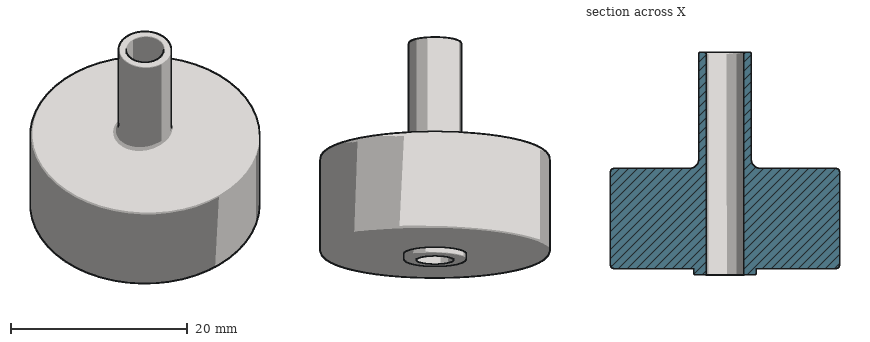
import cadquery as cq

body_diameter = 26.0
total_height = 25.2
boss_height = 0.7
body_height = 11.4
body_edge_radius = 0.5
tube_diameter = 6.0
bore_diameter = 4.2
root_fillet_radius = 1.0
small_edge_radius = 0.2
boss_diameter = 7.1

body_top = boss_height + body_height
tube_length = total_height - body_top


def cylinder(diameter, height, base_z):
    return cq.Workplane("XY").workplane(offset=base_z).circle(diameter / 2).extrude(height)


body = cylinder(body_diameter, body_height, boss_height).edges().fillet(body_edge_radius)

tube = cylinder(tube_diameter, tube_length, body_top)
part = body.union(tube)
root_reach = tube_diameter / 2 + root_fillet_radius
root_region = cq.selectors.BoxSelector(
    (-root_reach, -root_reach, body_top - root_fillet_radius),
    (root_reach, root_reach, body_top + root_fillet_radius),
)
part = part.edges(root_region).edges("%CIRCLE").edges(cq.selectors.RadiusNthSelector(0))
part = part.fillet(root_fillet_radius)

boss = cylinder(boss_diameter, boss_height, 0).faces("<Z").edges().fillet(small_edge_radius)
part = part.union(boss)

part = part.cut(cylinder(bore_diameter, total_height, 0))

result = part.faces(">Z").edges().fillet(small_edge_radius)